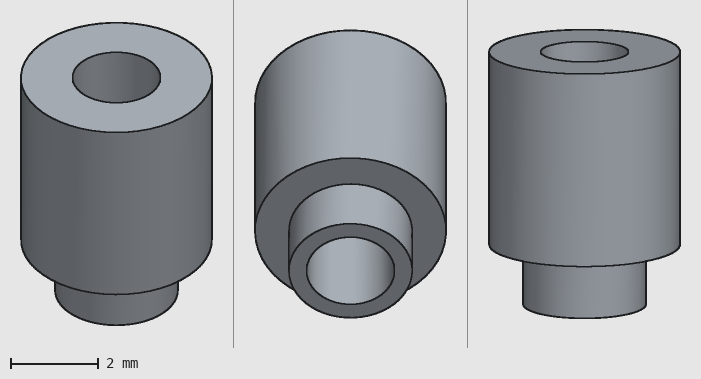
import cadquery as cq

total_height = 5.9
neck_height = 1.4
body_height = total_height - neck_height
body_diameter = 4.35
neck_diameter = 2.8
bore_diameter = 2.0

neck = cq.Workplane("XY").circle(neck_diameter / 2).extrude(neck_height)

body = (
    cq.Workplane("XY")
    .workplane(offset=neck_height)
    .circle(body_diameter / 2)
    .extrude(body_height)
)

bore = cq.Workplane("XY").circle(bore_diameter / 2).extrude(total_height)

result = neck.union(body).cut(bore)